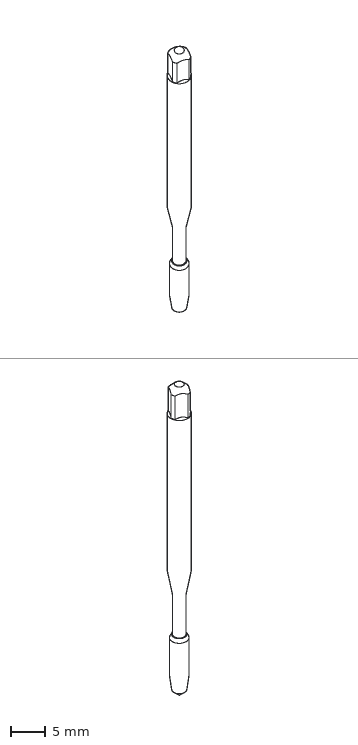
import cadquery as cq

TOTAL_LENGTH = 56.8
POINT_TOP = 1.15
LEAD_TOP = 3.65
THREAD_TOP = 10.55
HEAD_TOP = 11.2
NECK_TOP = 18.35
TAPER_TOP = 22.9
SHANK_TOP = 51.45

POINT_DIAMETER = 2.3
THREAD_DIAMETER = 2.9
HEAD_TOP_DIAMETER = 2.3
NECK_DIAMETER = 2.0
SHANK_DIAMETER = 3.6
DRIVE_CORNER_DIAMETER = 3.45
DRIVE_END_DIAMETER = 1.5

DRIVE_ACROSS_FLATS = 2.9


def revolve_profile(points):
    """Turn a closed (radius, height) outline about the Z axis."""
    outline = cq.Workplane("XZ").polyline(points).close()
    return outline.revolve(360, (0, 0, 0), (0, 1, 0))


def make_thread_head():
    """Plain thread envelope with a conical point, tapered lead and back chamfer."""
    return revolve_profile([
        (0, 0),
        (POINT_DIAMETER / 2, POINT_TOP),
        (THREAD_DIAMETER / 2, LEAD_TOP),
        (THREAD_DIAMETER / 2, THREAD_TOP),
        (HEAD_TOP_DIAMETER / 2, HEAD_TOP),
        (0, HEAD_TOP),
    ])


def make_round_shank():
    """Neck, taper and cylindrical shank, with a 45 degree cone at the top."""
    radius = SHANK_DIAMETER / 2
    cone_top_radius = DRIVE_ACROSS_FLATS / 2
    return revolve_profile([
        (0, HEAD_TOP),
        (NECK_DIAMETER / 2, HEAD_TOP),
        (NECK_DIAMETER / 2, NECK_TOP),
        (radius, TAPER_TOP),
        (radius, SHANK_TOP),
        (cone_top_radius, SHANK_TOP + radius - cone_top_radius),
        (0, SHANK_TOP + radius - cone_top_radius),
    ])


def make_square_drive():
    """Square with rounded corners and a 45 degree conical end."""
    corner_radius = DRIVE_CORNER_DIAMETER / 2
    end_radius = DRIVE_END_DIAMETER / 2
    turned_blank = revolve_profile([
        (0, SHANK_TOP),
        (corner_radius, SHANK_TOP),
        (corner_radius, TOTAL_LENGTH - (corner_radius - end_radius)),
        (end_radius, TOTAL_LENGTH),
        (0, TOTAL_LENGTH),
    ])
    square_bar = (
        cq.Workplane("XY", origin=(0, 0, SHANK_TOP))
        .rect(DRIVE_ACROSS_FLATS, DRIVE_ACROSS_FLATS)
        .extrude(TOTAL_LENGTH - SHANK_TOP)
    )
    return turned_blank.intersect(square_bar)


def make_shank():
    """Neck, shank and square drive as one body, standing on the thread head."""
    return make_round_shank().union(make_square_drive())


thread_head = make_thread_head()
shank = make_shank()

result = cq.Compound.makeCompound([thread_head.val(), shank.val()])